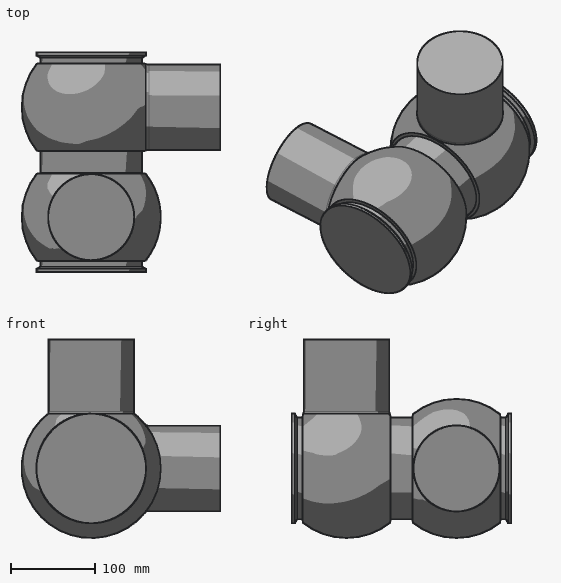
import cadquery as cq
import math

overall_length = 260.4
ball_spacing = 130.2
ball_offset = ball_spacing / 2

ball_radius = 82.5
ball_half_width = 51.5
ball_face_radius = math.sqrt(ball_radius**2 - ball_half_width**2)

neck_radius = 60.5
shoulder_depth = 0.8
flange_radius = 65.0
flange_rim = 4.0
flange_taper = 2.5

pipe_radius = 50.8
pipe_reach = 152.8
pipe_seat = 64.8
pipe_seat_radius = 51.0
pipe_taper = 3.0


def add_ball(outline, center_y):
    """Continue the outline over one ball, with a shallow shoulder cone on both sides."""
    face = ball_half_width
    shoulder = face + shoulder_depth
    return (
        outline.lineTo(neck_radius, center_y - shoulder)
        .lineTo(ball_face_radius, center_y - face)
        .threePointArc((ball_radius, center_y), (ball_face_radius, center_y + face))
        .lineTo(neck_radius, center_y + shoulder)
    )


def joint_bodies():
    """Both balls with their necks and tapered end flanges, turned about the Y axis."""
    end = overall_length / 2
    rim = end - flange_rim
    taper = rim - flange_taper
    outline = (
        cq.Workplane("XY")
        .moveTo(0, -end)
        .lineTo(flange_radius, -end)
        .lineTo(flange_radius, -rim)
        .lineTo(neck_radius, -taper)
    )
    for center_y in (-ball_offset, ball_offset):
        outline = add_ball(outline, center_y)
    outline = (
        outline.lineTo(neck_radius, taper)
        .lineTo(flange_radius, rim)
        .lineTo(flange_radius, end)
        .lineTo(0, end)
        .close()
    )
    return outline.revolve(360, (0, 0, 0), (0, 1, 0))


def branch_pipe(center_y):
    """Solid pipe along +Z, with a short taper where it leaves its flat seat on the ball."""
    profile = (
        cq.Workplane("XZ")
        .moveTo(0, pipe_seat)
        .lineTo(pipe_seat_radius, pipe_seat)
        .lineTo(pipe_radius, pipe_seat + pipe_taper)
        .lineTo(pipe_radius, pipe_reach)
        .lineTo(0, pipe_reach)
        .close()
    )
    return profile.revolve(360, (0, 0, 0), (0, 1, 0)).translate((0, center_y, 0))


def seat_cutter(center_y):
    """Block beyond the pipe seat, used to flatten the top of a ball."""
    return (
        cq.Workplane("XY", origin=(0, center_y, pipe_seat))
        .rect(2 * ball_radius, 2 * ball_half_width)
        .extrude(ball_radius)
    )


def turn_about_y(shape, angle):
    return shape.rotate((0, 0, 0), (0, 1, 0), angle)


result = joint_bodies()
for center_y, angle in ((-ball_offset, 0), (ball_offset, 90)):
    result = result.cut(turn_about_y(seat_cutter(center_y), angle))
    result = result.union(turn_about_y(branch_pipe(center_y), angle))